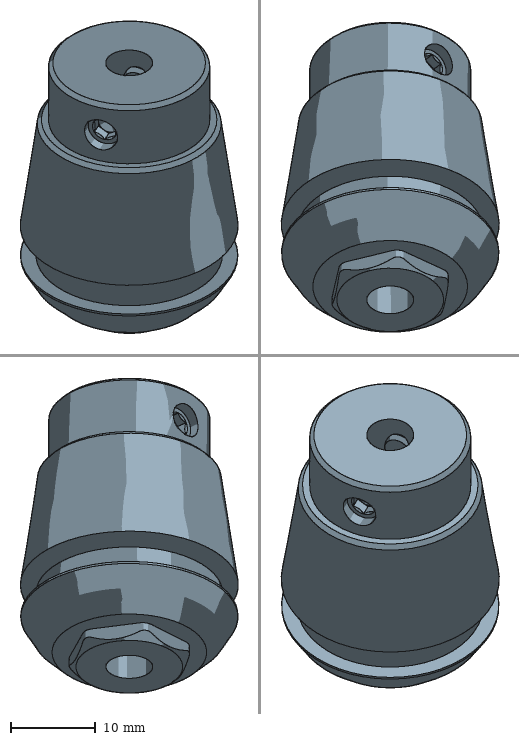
import cadquery as cq
import math

height = 34.0
bore_diameter = 5.5

max_radius = 12.85
nut_height = 1.97
base_radius = 9.1
base_cone_top_z = 4.18
base_cone_top_radius = base_radius + (base_cone_top_z - nut_height)
flange_radius = 12.8
flange_edge_z = 6.73
flange_top_z = 7.0
groove_radius = 11.0
groove_top_z = 10.0
collar_edge_z = 11.1
collar_top_z = 26.0
collar_top_radius = 10.85
collar_chamfer = 0.5
neck_radius = 9.503
neck_chamfer = 0.5

nut_across_flats = 13.0
nut_corner_fillet = 1.5
nut_chamfer_radius = 6.3

screw_z = 29.68
screw_diameter = 4.15
screw_tip_y = 2.15
screw_tip_radius = 1.6
screw_recess = 1.43
socket_mouth_radius = 1.53
socket_across_flats = 2.62
socket_depth = 1.35
socket_cone_depth = 0.78


def make_body():
    return (
        cq.Workplane("XZ")
        .moveTo(0, nut_height)
        .lineTo(base_radius, nut_height)
        .lineTo(base_cone_top_radius, base_cone_top_z)
        .lineTo(flange_radius, flange_edge_z)
        .lineTo(flange_radius, flange_top_z)
        .lineTo(groove_radius, flange_top_z)
        .lineTo(groove_radius, groove_top_z)
        .lineTo(max_radius, collar_edge_z)
        .lineTo(collar_top_radius, collar_top_z - collar_chamfer)
        .lineTo(collar_top_radius - collar_chamfer, collar_top_z)
        .lineTo(neck_radius, collar_top_z)
        .lineTo(neck_radius, height - neck_chamfer)
        .lineTo(neck_radius - neck_chamfer, height)
        .lineTo(0, height)
        .close()
        .revolve(360, (0, 0), (0, 1))
    )


def make_nut():
    across_corners = nut_across_flats / math.cos(math.radians(30))
    hexagon = (
        cq.Workplane("XY")
        .polygon(6, across_corners)
        .extrude(nut_height)
        .edges("|Z")
        .fillet(nut_corner_fillet)
    )
    trim_cone = cq.Workplane(
        cq.Solid.makeCone(nut_chamfer_radius, nut_chamfer_radius + nut_height, nut_height)
    )
    return hexagon.intersect(trim_cone)


def revolve_along_y(points):
    """Turn (radius, y) points about the set screw axis."""
    profile = cq.Workplane("XY").polyline(points).close()
    return profile.revolve(360, (0, 0), (0, 1)).translate((0, 0, screw_z))


def make_screw_tip():
    """Truncated 45 degree cone that reaches into the bore."""
    screw_radius = screw_diameter / 2
    cone_end_y = screw_tip_y + screw_radius - screw_tip_radius
    embedded_end_y = bore_diameter / 2 + screw_radius
    return revolve_along_y([
        (0, screw_tip_y),
        (screw_tip_radius, screw_tip_y),
        (screw_radius, cone_end_y),
        (screw_radius, embedded_end_y),
        (0, embedded_end_y),
    ])


def make_screw_opening():
    """Space above the screw head together with its hexagonal, cone-bottomed socket."""
    screw_radius = screw_diameter / 2
    socket_radius = socket_across_flats / 2
    head_y = neck_radius - screw_recess
    socket_end_y = head_y - socket_depth
    mouth_end_y = head_y - (socket_mouth_radius - socket_radius)
    turned_part = revolve_along_y([
        (0, socket_end_y - socket_cone_depth),
        (socket_radius, socket_end_y),
        (socket_radius, mouth_end_y),
        (socket_mouth_radius, head_y),
        (screw_radius, head_y),
        (screw_radius, neck_radius),
        (0, neck_radius),
    ])
    hexagon = (
        cq.Workplane("XZ", origin=(0, head_y, screw_z))
        .transformed(rotate=(0, 0, 90))
        .polygon(6, socket_across_flats / math.cos(math.radians(30)))
        .extrude(socket_depth)
    )
    return turned_part.union(hexagon)


bore = cq.Workplane("XY").circle(bore_diameter / 2).extrude(height)
result = make_body().union(make_nut()).cut(bore)

for angle in (0, 180):
    tip = make_screw_tip().rotate((0, 0, 0), (0, 0, 1), angle)
    opening = make_screw_opening().rotate((0, 0, 0), (0, 0, 1), angle)
    result = result.union(tip).cut(opening)